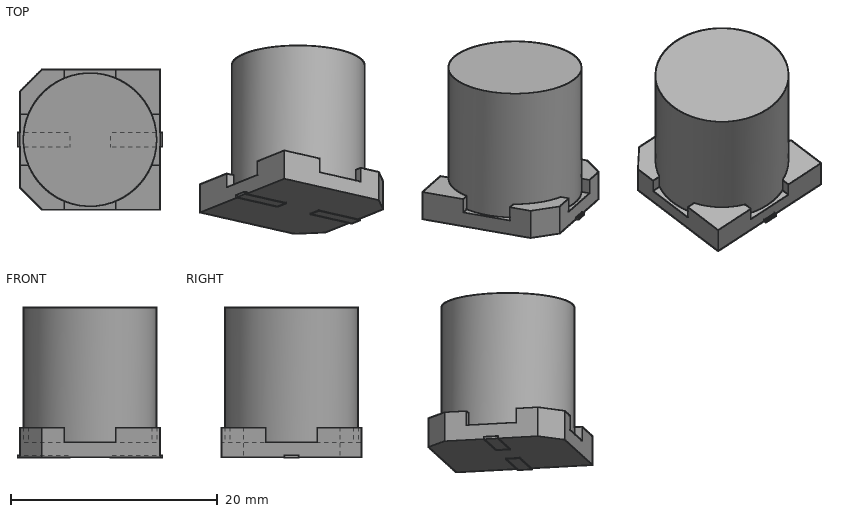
import cadquery as cq

total_height = 14.56
lead_span = 14.0

base_width = 13.58
base_bottom = 0.06
base_height = 2.87
base_top = base_bottom + base_height
corner_chamfer = 2.14
notch_width = 4.94
notch_depth = 1.4
seat_height = base_top - notch_depth

can_diameter = 12.9

lead_width = 1.4
lead_thickness = 0.25
lead_gap = 3.93
lead_length = (lead_span - lead_gap) / 2
lead_center_x = (lead_span + lead_gap) / 4


def make_can():
    """Plain cylinder seated in the round recess of the base."""
    return (
        cq.Workplane("XY")
        .workplane(offset=seat_height)
        .circle(can_diameter / 2)
        .extrude(total_height - seat_height)
    )


def make_lead(side):
    """Flat lead strip; side is -1 for the -X lead and +1 for the +X lead."""
    return (
        cq.Workplane("XY")
        .center(side * lead_center_x, 0)
        .rect(lead_length, lead_width)
        .extrude(lead_thickness)
    )


def make_base(can, leads):
    """Square tray with two cut corners, a notch in each wall and recesses for can and leads."""
    base = (
        cq.Workplane("XY")
        .workplane(offset=base_bottom)
        .rect(base_width, base_width)
        .extrude(base_height)
        .edges("|Z and <X")
        .chamfer(corner_chamfer)
    )

    for length_x, length_y in ((base_width, notch_width), (notch_width, base_width)):
        channel = (
            cq.Workplane("XY")
            .workplane(offset=seat_height)
            .rect(length_x, length_y)
            .extrude(notch_depth)
        )
        base = base.cut(channel)

    for inserted_body in (can, *leads):
        base = base.cut(inserted_body)
    return base


can = make_can()
leads = [make_lead(side) for side in (-1, 1)]
base = make_base(can, leads)

result = cq.Compound.makeCompound([base.val(), can.val(), *(lead.val() for lead in leads)])